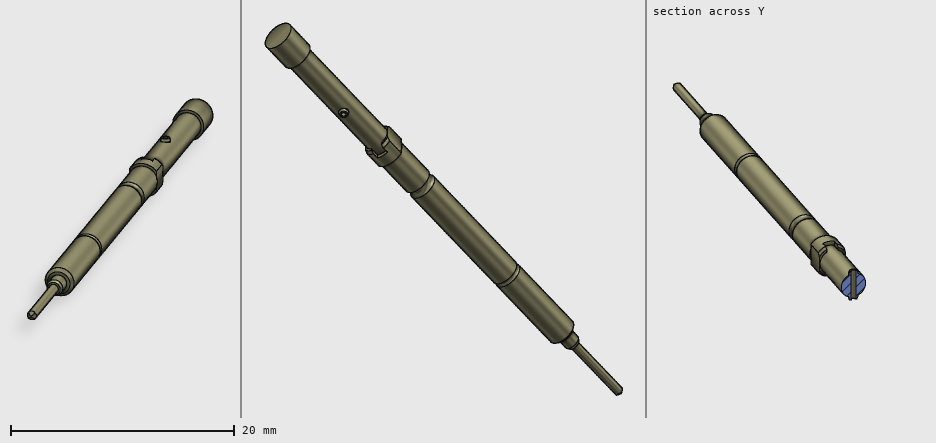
import cadquery as cq


head_radius = 1.45
head_end = 2.85
shaft_radius = 1.2

bump_station = 9.8
bump_base_radius = 0.46
bump_top_radius = 0.36
bump_hole_radius = 0.2
bump_peak = 1.45

collar_start = 14.7
collar_end = 16.75
collar_radius = 1.6
collar_chamfer_radius = 1.43
collar_chamfer_length = 0.3
collar_flat_distance = 1.25
slot_width = 1.1
slot_depth_along_axis = 0.9

barrel_radius = 1.35
barrel_end = 42.7
barrel_chamfer_length = 0.3
barrel_nose_radius = 1.05
deep_groove_center = 21.2
deep_groove_width = 0.8
deep_groove_depth = 0.18
shallow_groove_center = 34.1
shallow_groove_width = 0.45
shallow_groove_depth = 0.1

stem_radius = 0.75
stem_nose_radius = 0.6
stem_end = 44.2
stem_chamfer_length = 0.3
needle_radius = 0.42
tip_facet_count = 4
tip_length = 0.4
total_length = 51.3


def add_groove(outline, center, width, depth):
    """Continue the outline to a groove in the barrel and along its arc."""
    return (
        outline.lineTo(barrel_radius, -(center - width / 2))
        .threePointArc(
            (barrel_radius - depth, -center),
            (barrel_radius, -(center + width / 2)),
        )
    )


def make_turned_body():
    """Full round profile of the pin revolved about the Y axis, without the collar
    and with a square needle end.
    """
    outline = (
        cq.Workplane("XY")
        .moveTo(0, 0)
        .lineTo(head_radius, 0)
        .lineTo(head_radius, -head_end)
        .lineTo(shaft_radius, -head_end)
        .lineTo(shaft_radius, -collar_end)
        .lineTo(barrel_radius, -collar_end)
    )
    outline = add_groove(outline, deep_groove_center, deep_groove_width, deep_groove_depth)
    outline = add_groove(outline, shallow_groove_center, shallow_groove_width, shallow_groove_depth)
    outline = (
        outline.lineTo(barrel_radius, -(barrel_end - barrel_chamfer_length))
        .lineTo(barrel_nose_radius, -barrel_end)
        .lineTo(stem_radius, -barrel_end)
        .lineTo(stem_radius, -(stem_end - stem_chamfer_length))
        .lineTo(stem_nose_radius, -stem_end)
        .lineTo(needle_radius, -stem_end)
        .lineTo(needle_radius, -total_length)
        .lineTo(0, -total_length)
        .close()
    )
    return outline.revolve(360, (0, 0, 0), (0, 1, 0))


def make_collar():
    """Collar ring with a conical rear edge, two flats on X and key slots on Z."""
    ring = (
        cq.Workplane("XY")
        .moveTo(0, -collar_start)
        .lineTo(collar_chamfer_radius, -collar_start)
        .lineTo(collar_radius, -(collar_start + collar_chamfer_length))
        .lineTo(collar_radius, -collar_end)
        .lineTo(0, -collar_end)
        .close()
        .revolve(360, (0, 0, 0), (0, 1, 0))
    )
    collar_length = collar_end - collar_start
    between_flats = cq.Workplane("XY").box(
        2 * collar_flat_distance, collar_length, 2 * collar_radius
    ).translate((0, -(collar_start + collar_end) / 2, 0))
    slots = cq.Workplane("XY").box(
        slot_width, slot_depth_along_axis, 2 * collar_radius
    ).translate((0, -(collar_start + slot_depth_along_axis / 2), 0))
    return ring.intersect(between_flats).cut(slots)


def make_bumps():
    """Conical bumps on opposite sides of the shaft, joined through the axis."""
    half_outline = (
        cq.Workplane("XZ", origin=(0, -bump_station, 0))
        .moveTo(0, -bump_peak)
        .lineTo(bump_top_radius, -bump_peak)
        .lineTo(bump_base_radius, -shaft_radius)
        .lineTo(bump_base_radius, shaft_radius)
        .lineTo(bump_top_radius, bump_peak)
        .lineTo(0, bump_peak)
        .close()
    )
    return half_outline.revolve(360, (0, 0, 0), (0, 1, 0))


def make_tip_cutters():
    """Wedges that grind the needle end to a pyramid with evenly spaced facets."""
    cutter_reach = 2 * needle_radius
    wedge = (
        cq.Workplane("YZ", origin=(-cutter_reach, 0, 0))
        .moveTo(-total_length, 0)
        .lineTo(-total_length, cutter_reach)
        .lineTo(-total_length + cutter_reach * tip_length / needle_radius, cutter_reach)
        .close()
        .extrude(2 * cutter_reach)
    )
    cutters = cq.Workplane("XY")
    for index in range(tip_facet_count):
        angle = index * 360 / tip_facet_count
        cutters = cutters.add(wedge.rotate((0, 0, 0), (0, 1, 0), angle))
    return cutters.combine()


def make_bump_hole():
    """Small hole along Z through both bumps and the shaft."""
    return (
        cq.Workplane("XY", origin=(0, -bump_station, -bump_peak))
        .circle(bump_hole_radius)
        .extrude(2 * bump_peak)
    )


pin = make_turned_body().union(make_collar()).union(make_bumps())
result = pin.cut(make_bump_hole()).cut(make_tip_cutters())